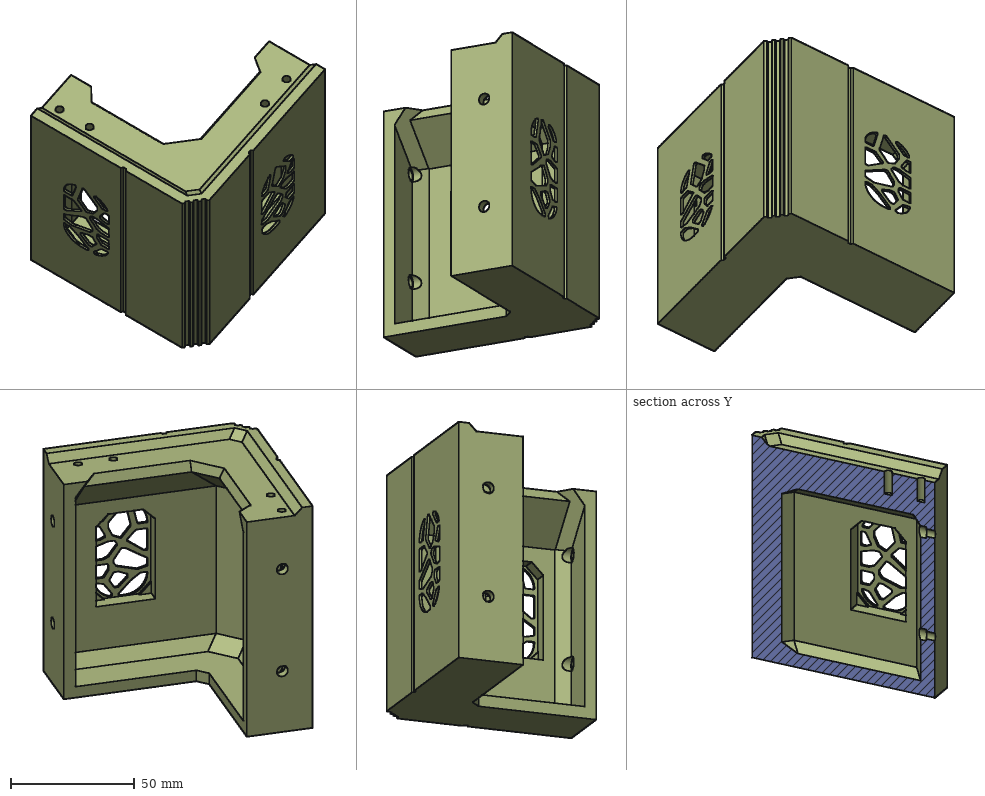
import cadquery as cq


HEIGHT = 100.0
REACH_X = 83.5
REACH_Y = 88.5
ARM_DEPTH = 28.0
OUTER_CHAMFER = 8.0
INNER_CHAMFER = 4.2

RIM_HEIGHT = 3.2
RIM_TOP_DEPTH = 4.5
RIM_TOP_CORNER = 8.6
SHELF_Z = HEIGHT - RIM_HEIGHT

WALL = 5.0
BACK_DEPTH = 7.6
BACK_CORNER = 17.4
EDGE_BEVEL = 5.1
LIP_DEPTH = 23.9
LIP_CORNER = 32.9
MOUTH_DEPTH = 21.8
LIP_Z = 92.6
ROOF_Z = 76.6
ROOF_SLOPE = (LIP_Z - ROOF_Z) / (LIP_DEPTH - BACK_DEPTH)
END_ROOF_PITCH = 1.3

WINDOW_REACH = 55.8
WINDOW_Z = 49.9
WINDOW_WIDTH = 25.2
WINDOW_HEIGHT = 41.0
WINDOW_CHAMFER = 5.1
GRILLE_DEPTH = 1.1
FRAME_STEP = 1.0
GRILLE_WIDTH = 22.6
GRILLE_HEIGHT = 40.9
GRILLE_CORNER_RADIUS = 9.0
CELL_FILLET = 0.6

GROOVE_REACH = 37.3
GROOVE_MOUTH = 2.4
GROOVE_FLOOR = 1.4
GROOVE_DEPTH = 0.9
CORNER_GROOVE_COUNT = 3
CORNER_GROOVE_PITCH = 3.4

END_HOLE_DIAMETER = 4.7
END_RELIEF_DIAMETER = 6.0
END_HOLE_DEPTH = 12.9
END_HOLE_SPACING = 46.0
END_HOLE_MIDDLE_Z = 50.4
END_RELIEF_RECESS = 1.0
TOP_HOLE_DIAMETER = 3.3
TOP_HOLE_DEPTH = 10.0
TOP_HOLE_INSET = 11.2
TOP_HOLE_REACHES = (62.2, 77.2)

MARGIN = 1.0

GRILLE_CELLS = [
    [(-4.7, 20.9), (-7.1, 11.1), (-11.8, 11.1), (-11.8, 20.9)],
    [(-1.8, 21.4), (5.4, 13.5), (5.4, 11.1), (3.5, 7.2), (0.0, 5.6), (-4.3, 10.8)],
    [(3.6, 19.2), (7.9, 14.3), (11.7, 14.3), (11.7, 21.4), (5.3, 21.4)],
    [(9.2, 12.3), (11.7, 12.3), (11.7, 6.0), (9.0, 6.0), (6.4, 7.2)],
    [(-11.8, 8.5), (-6.3, 8.5), (-2.2, 4.3), (-9.8, -1.3), (-11.8, -1.3)],
    [(2.8, 4.9), (5.5, 4.9), (11.7, 3.1), (11.7, -3.0), (7.6, -3.0), (5.3, -2.0), (1.5, 3.0)],
    [(-1.8, 0.9), (-0.2, 1.2), (3.1, -3.6), (3.1, -5.1), (1.9, -6.8), (-7.0, -9.4), (-11.8, -8.3),
     (-11.8, -5.3)],
    [(5.8, -5.2), (11.7, -5.2), (11.7, -11.2), (7.4, -11.2), (5.2, -7.8), (5.2, -6.2)],
    [(-2.9, -11.0), (1.0, -9.3), (3.1, -9.3), (5.0, -12.6), (2.7, -16.3), (1.2, -16.3), (-2.9, -12.2)],
    [(-11.8, -11.1), (-8.2, -11.1), (-4.3, -13.8), (1.0, -19.2), (1.0, -21.1), (-11.8, -21.1)],
    [(3.6, -19.2), (7.4, -14.0), (10.1, -13.4), (11.7, -13.4), (11.7, -21.1), (5.0, -21.1)],
]


def mirrored_arm(shape):
    """Carry a shape of the Y arm over to the X arm, across the diagonal of the corner."""
    return shape.mirror((1, 1, 0))


def corner_outline(depth, corner, reach_x, reach_y):
    """Points of the area inside both outer faces by `depth`, with its corner cut off at `corner`."""
    return [
        (-depth, reach_y),
        (-depth, corner),
        (-corner, depth),
        (-reach_x, depth),
        (-reach_x, reach_y),
    ]


def corner_loft(bottom_z, bottom, top_z, top, reach_x, reach_y):
    """Flat-sided solid between two (depth, corner) outlines."""
    return (
        cq.Workplane("XY")
        .workplane(offset=bottom_z)
        .polyline(corner_outline(*bottom, reach_x, reach_y))
        .close()
        .workplane(offset=top_z - bottom_z)
        .polyline(corner_outline(*top, reach_x, reach_y))
        .close()
        .loft(ruled=True)
    )


def body():
    """Full-height L with its outer corner chamfered and its inner corner filled."""
    inner = ARM_DEPTH + INNER_CHAMFER
    outline = [
        (0, OUTER_CHAMFER),
        (0, REACH_Y),
        (-ARM_DEPTH, REACH_Y),
        (-ARM_DEPTH, inner),
        (-inner, ARM_DEPTH),
        (-REACH_X, ARM_DEPTH),
        (-REACH_X, 0),
        (-OUTER_CHAMFER, 0),
    ]
    return cq.Workplane("XY").polyline(outline).close().extrude(HEIGHT)


def rim_recess():
    """Space above the shelf, leaving the rim with its 45 degree inner side along both outer faces."""
    top = (RIM_TOP_DEPTH, RIM_TOP_CORNER)
    bottom = (RIM_TOP_DEPTH + RIM_HEIGHT, RIM_TOP_CORNER + RIM_HEIGHT)
    return corner_loft(SHELF_Z, bottom, HEIGHT, top, REACH_X + MARGIN, REACH_Y + MARGIN)


def cavity_end(end):
    """Material that stays at the far end of the Y arm's cavity: bevelled edge and sloped roof."""
    bevel = (
        cq.Workplane("XY")
        .polyline(
            [
                (-BACK_DEPTH, end - EDGE_BEVEL),
                (-BACK_DEPTH - EDGE_BEVEL, end),
                (-BACK_DEPTH, end),
            ]
        )
        .close()
        .extrude(HEIGHT)
    )

    start = end - EDGE_BEVEL

    def roof_z(depth, reach):
        return SHELF_Z + ROOF_SLOPE * (depth - ARM_DEPTH) - END_ROOF_PITCH * (reach - start)

    near = end - 3 * EDGE_BEVEL
    far = end + MARGIN
    ceiling = 2 * HEIGHT

    def section(depth):
        return [
            (near, roof_z(depth, near)),
            (far, roof_z(depth, far)),
            (far, ceiling),
            (near, ceiling),
        ]

    roof = (
        cq.Workplane("YZ")
        .polyline(section(0))
        .close()
        .workplane(offset=-ARM_DEPTH - MARGIN)
        .polyline(section(ARM_DEPTH + MARGIN))
        .close()
        .loft(ruled=True)
    )
    return bevel.union(roof)


def cavity():
    """L-shaped space from the floor to the shelf, stacked from lofted layers."""
    end_x = REACH_X - WALL
    end_y = REACH_Y - WALL
    bevelled = (BACK_DEPTH + EDGE_BEVEL, BACK_CORNER + EDGE_BEVEL)
    back = (BACK_DEPTH, BACK_CORNER)
    lip = (LIP_DEPTH, LIP_CORNER)
    mouth = (MOUTH_DEPTH, LIP_CORNER)
    levels = [
        (WALL, bevelled),
        (WALL + EDGE_BEVEL, back),
        (ROOF_Z, back),
        (LIP_Z, lip),
        (SHELF_Z, mouth),
    ]
    space = None
    for (bottom_z, bottom), (top_z, top) in zip(levels, levels[1:]):
        layer = corner_loft(bottom_z, bottom, top_z, top, end_x, end_y)
        space = layer if space is None else space.union(layer)
    return space.cut(cavity_end(end_y)).cut(mirrored_arm(cavity_end(end_x)))


def window_panel(start_depth, end_depth):
    """Blank of the window size on the X arm, spanning the given depths."""
    return (
        cq.Workplane("XZ", origin=(0, start_depth, 0))
        .rect(WINDOW_WIDTH, WINDOW_HEIGHT)
        .extrude(start_depth - end_depth)
    )


def window():
    """Grille and stepped recess, centred on X = 0 with the outer face on Y = 0."""
    step = GRILLE_DEPTH + FRAME_STEP
    octagon = window_panel(GRILLE_DEPTH, step).edges("|Y").chamfer(WINDOW_CHAMFER)
    recess = window_panel(step, BACK_DEPTH + MARGIN).edges("|Y and >Z").chamfer(WINDOW_CHAMFER)
    opening = octagon.union(recess)
    outline = (
        cq.Workplane("XZ")
        .rect(GRILLE_WIDTH, GRILLE_HEIGHT)
        .extrude(-step)
        .edges("|Y")
        .fillet(GRILLE_CORNER_RADIUS)
    )
    for points in GRILLE_CELLS:
        cell = cq.Workplane("XZ").polyline(points).close().extrude(-step).intersect(outline)
        opening = opening.union(cell.edges("|Y").fillet(CELL_FILLET))
    return opening.translate((0, 0, WINDOW_Z))


def groove():
    """Vertical trapezoidal groove centred on the origin, cut into the face on Y = 0."""
    half_mouth = GROOVE_MOUTH / 2
    half_floor = GROOVE_FLOOR / 2
    profile = [
        (-half_mouth, 0),
        (half_mouth, 0),
        (half_floor, GROOVE_DEPTH),
        (-half_floor, GROOVE_DEPTH),
    ]
    return cq.Workplane("XY").polyline(profile).close().extrude(HEIGHT)


def corner_grooves():
    """Evenly spaced grooves across the outer corner chamfer."""
    middle = (-OUTER_CHAMFER / 2, OUTER_CHAMFER / 2, 0)
    grooves = cq.Workplane("XY")
    for index in range(CORNER_GROOVE_COUNT):
        along = (index - (CORNER_GROOVE_COUNT - 1) / 2) * CORNER_GROOVE_PITCH
        grooves = grooves.add(groove().translate((along, 0, 0)))
    return grooves.combine().rotate((0, 0, 0), (0, 0, 1), 45).translate(middle)


def end_holes(end):
    """Screw holes through the Y arm's end wall, counterbored from inside the cavity."""
    outside = cq.Workplane("XZ", origin=(-END_HOLE_DEPTH, end + WALL, END_HOLE_MIDDLE_Z))
    inside = cq.Workplane("XZ", origin=(-END_HOLE_DEPTH, end + END_RELIEF_RECESS, END_HOLE_MIDDLE_Z))
    centres = [(0, -END_HOLE_SPACING / 2), (0, END_HOLE_SPACING / 2)]
    holes = outside.pushPoints(centres).circle(END_HOLE_DIAMETER / 2).extrude(WALL + MARGIN)
    relief_length = END_RELIEF_RECESS + EDGE_BEVEL
    relief = inside.pushPoints(centres).circle(END_RELIEF_DIAMETER / 2).extrude(relief_length)
    return holes.union(relief)


def top_holes():
    """Blind screw holes down into the shelf of the Y arm."""
    return (
        cq.Workplane("XY", origin=(0, 0, SHELF_Z))
        .pushPoints([(-TOP_HOLE_INSET, reach) for reach in TOP_HOLE_REACHES])
        .circle(TOP_HOLE_DIAMETER / 2)
        .extrude(-TOP_HOLE_DEPTH)
    )


def on_both_arms(feature, reach):
    """Place a feature made at X = 0 on the X arm, and the same turned onto the Y arm."""
    on_x = feature.translate((-reach, 0, 0))
    on_y = feature.rotate((0, 0, 0), (0, 0, 1), 90).translate((0, reach, 0))
    return [on_x, on_y]


cuts = [
    rim_recess(),
    cavity(),
    corner_grooves(),
    end_holes(REACH_Y - WALL),
    mirrored_arm(end_holes(REACH_X - WALL)),
    top_holes(),
    mirrored_arm(top_holes()),
]
cuts += on_both_arms(window(), WINDOW_REACH)
cuts += on_both_arms(groove(), GROOVE_REACH)

result = body()
for cut_shape in cuts:
    result = result.cut(cut_shape)